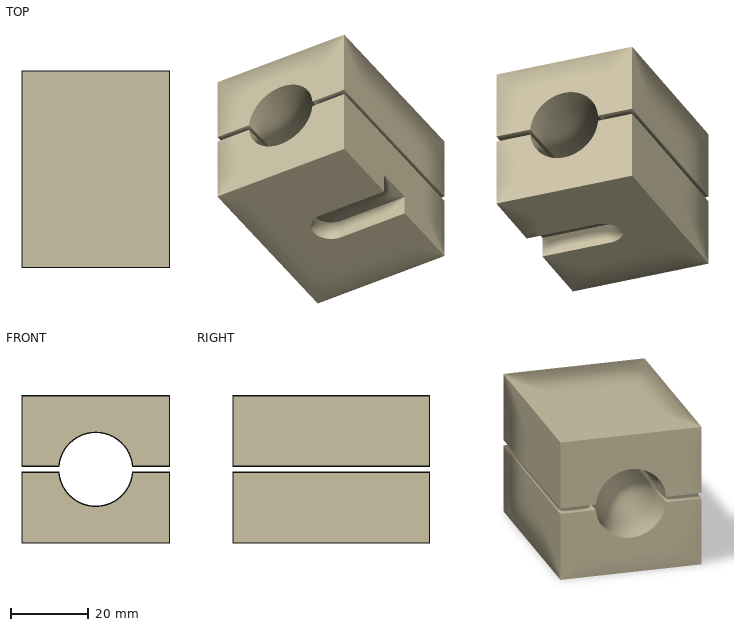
import cadquery as cq

width = 38.1
length = 50.8
height = 38.1
bore_diameter = width / 2
split_gap = 1.5

slot_width = 10.4
slot_depth = 5.5
slot_end_center_x = 0

half_height = (height - split_gap) / 2
half_center_z = (split_gap + half_height) / 2


def clamp_half(side):
    """Half of the bored block, above (side = 1) or below (side = -1) the split."""
    block = cq.Workplane("XY").box(width, length, half_height)
    block = block.translate((0, 0, side * half_center_z))
    bore = cq.Workplane("XZ").circle(bore_diameter / 2).extrude(length / 2, both=True)
    return block.cut(bore)


def mounting_slot():
    """Slot running in from the -X face and ending in a half circle."""
    open_end_x = -width / 2
    slot_radius = slot_width / 2
    return (
        cq.Workplane("XY", origin=(0, 0, -height / 2))
        .moveTo(open_end_x, -slot_radius)
        .lineTo(slot_end_center_x, -slot_radius)
        .threePointArc(
            (slot_end_center_x + slot_radius, 0),
            (slot_end_center_x, slot_radius),
        )
        .lineTo(open_end_x, slot_radius)
        .close()
        .extrude(slot_depth)
    )


upper_half = clamp_half(1)
lower_half = clamp_half(-1).cut(mounting_slot())

result = cq.Compound.makeCompound([upper_half.val(), lower_half.val()])